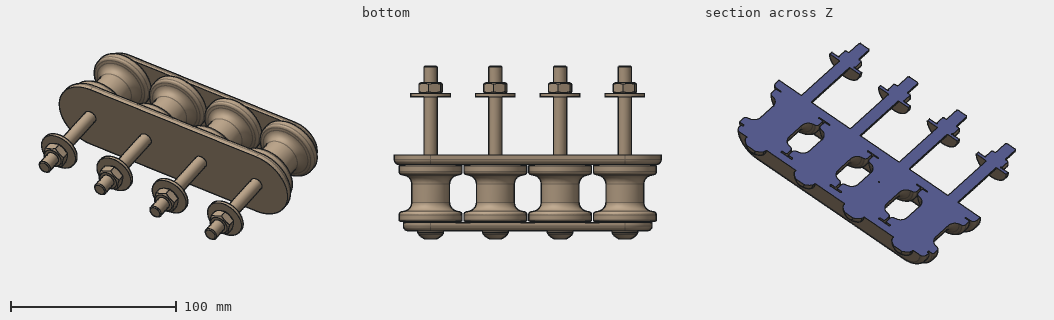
import cadquery as cq
import math

overall_length = 161.0
front_plate_width = 44.0
back_plate_width = 33.0
roller_count = 4
row_length = overall_length - front_plate_width
pitch = row_length / (roller_count - 1)

front_plate_thickness = 6.0
back_plate_thickness = 5.0
plate_edge_radius = 3.0

roller_length = 33.8
flange_radius = 38.0 / 2
barrel_radius = 23.0 / 2
flange_inner_round = 2.0
flange_outer_round = 0.8
flange_thickness = 5.8
cove_radius = 5.3
cheek_angle = 12.0

spacer_radius = 30.6 / 2
front_spacer_thickness = 0.3
back_spacer_thickness = 0.8

head_radius = 15.6 / 2
head_height = 5.0
head_rim_height = 1.0
dome_base_radius = 7.4
dome_base_height = 2.0
dome_mid_radius = 5.8
dome_mid_height = 3.5
dome_top_radius = 3.2

bolt_radius = 8.0 / 2
bolt_reach = 53.5
bolt_tip_chamfer = 0.6

washer_radius = 24.0 / 2
washer_thickness = 2.1
washer_back = -35.0

nut_across_flats = 13.0
nut_height = 6.5
nut_face_radius = 11.6 / 2
nut_bevel_angle = 30.0
nut_turn = 21.0

roller_start = front_plate_thickness + front_spacer_thickness
roller_end = roller_start + roller_length
back_plate_start = roller_end + back_spacer_thickness
head_start = back_plate_start + back_plate_thickness
washer_front = washer_back - washer_thickness


def plane_at(y):
    """Plane normal to +Y, with its local x along -X and local y along +Z."""
    return cq.Workplane(cq.Plane(origin=(0, y, 0), xDir=(-1, 0, 0), normal=(0, 1, 0)))


def disc(radius, start, length):
    return plane_at(start).circle(radius).extrude(length)


def turned(profile):
    """Revolve an XY half-profile about the Y axis."""
    return profile.close().revolve(360, (0, 0, 0), (0, 1, 0))


def plate(width, start, thickness):
    """Round-ended plate with its rearward edge rounded over."""
    body = plane_at(start).slot2D(row_length + width, width).extrude(thickness)
    return body.faces(">Y").edges().fillet(plate_edge_radius)


def roller():
    """Spool with two rounded flanges blended into the barrel by coves."""
    blank = disc(flange_radius, roller_start, roller_length)
    blank = blank.edges().fillet(flange_outer_round)

    slope = math.radians(cheek_angle)
    half_slope = math.radians((90 - cheek_angle) / 2)
    middle = (roller_start + roller_end) / 2
    round_center_r = flange_radius - flange_inner_round
    round_center_y = roller_end - flange_thickness + flange_inner_round
    cove_center_r = barrel_radius + cove_radius

    def on_round(angle):
        return (
            round_center_r + flange_inner_round * math.cos(angle),
            round_center_y - flange_inner_round * math.sin(angle),
        )

    cheek_outer = on_round(math.pi / 2 - slope)
    cheek_inner_r = cove_center_r - cove_radius * math.sin(slope)
    cheek_inner_y = cheek_outer[1] - (cheek_outer[0] - cheek_inner_r) * math.tan(slope)
    cove_center_y = cheek_inner_y - cove_radius * math.cos(slope)

    def on_cove(angle):
        return (
            cove_center_r - cove_radius * math.cos(angle),
            cove_center_y + cove_radius * math.sin(angle),
        )

    half_groove = turned(
        cq.Workplane("XY")
        .moveTo(flange_radius, middle)
        .lineTo(*on_round(0))
        .threePointArc(on_round(half_slope), cheek_outer)
        .lineTo(cheek_inner_r, cheek_inner_y)
        .threePointArc(on_cove(half_slope), on_cove(0))
        .lineTo(barrel_radius, middle)
    )
    groove = half_groove.union(half_groove.mirror("XZ", (0, middle, 0)))
    return blank.cut(groove)


def bolt():
    """Shank with a chamfered tip and a low domed head behind the back plate."""
    shank = disc(bolt_radius, -bolt_reach, bolt_reach + head_start)
    shank = shank.faces("<Y").edges().chamfer(bolt_tip_chamfer)
    head = turned(
        cq.Workplane("XY")
        .moveTo(0, head_start)
        .lineTo(head_radius, head_start)
        .lineTo(head_radius, head_start + head_rim_height)
        .lineTo(dome_base_radius, head_start + dome_base_height)
        .threePointArc(
            (dome_mid_radius, head_start + dome_mid_height),
            (dome_top_radius, head_start + head_height),
        )
        .lineTo(0, head_start + head_height)
    )
    return shank.union(head)


def nut():
    """Hexagon nut with its corners turned down to a circle at both faces."""
    across_corners = nut_across_flats / math.cos(math.radians(30))
    hexagon = (
        plane_at(washer_front)
        .transformed(rotate=(0, 0, -nut_turn))
        .polygon(6, across_corners)
        .extrude(-nut_height)
    )
    corner_radius = across_corners / 2
    bevel = (corner_radius - nut_face_radius) * math.tan(math.radians(nut_bevel_angle))
    nut_front = washer_front - nut_height
    envelope = turned(
        cq.Workplane("XY")
        .moveTo(0, nut_front)
        .lineTo(nut_face_radius, nut_front)
        .lineTo(corner_radius, nut_front + bevel)
        .lineTo(corner_radius, washer_front - bevel)
        .lineTo(nut_face_radius, washer_front)
        .lineTo(0, washer_front)
    )
    return hexagon.intersect(envelope)


station = (
    roller()
    .union(disc(spacer_radius, front_plate_thickness, front_spacer_thickness))
    .union(disc(spacer_radius, roller_end, back_spacer_thickness))
    .union(bolt())
    .union(disc(washer_radius, washer_front, washer_thickness))
    .union(nut())
)

result = plate(front_plate_width, 0, front_plate_thickness)
result = result.union(plate(back_plate_width, back_plate_start, back_plate_thickness))
for index in range(roller_count):
    x = index * pitch - row_length / 2
    result = result.union(station.translate((x, 0, 0)))